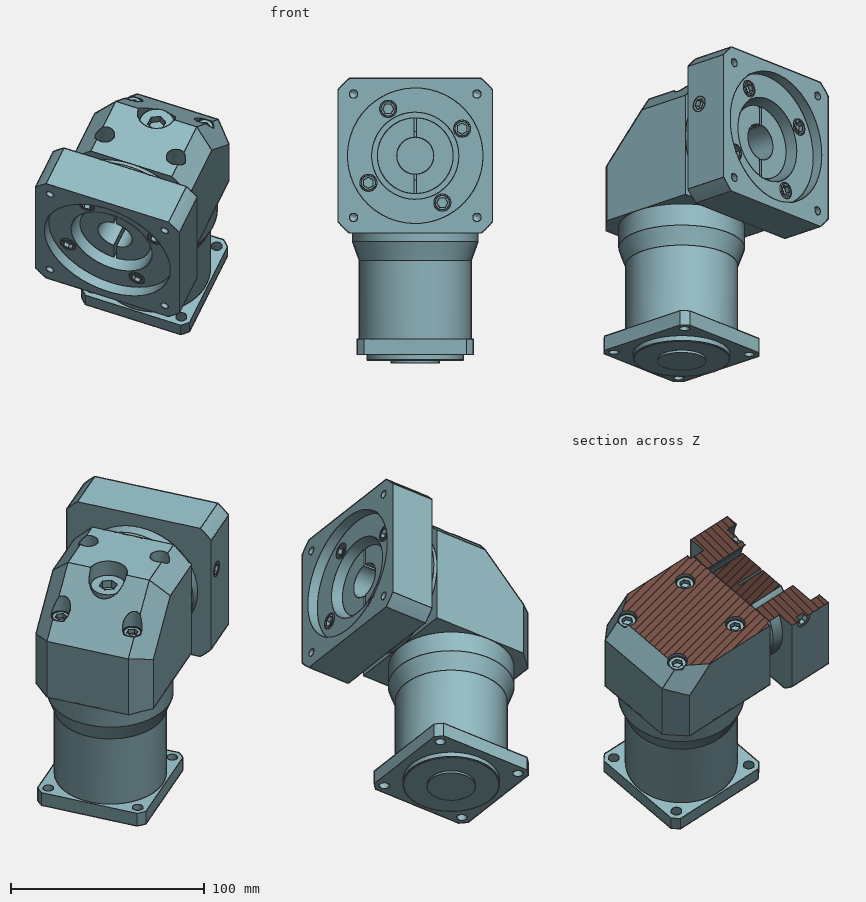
import cadquery as cq
import math


BOX = 65.0
HALF_BOX = BOX / 2
INPUT_Z = 107.0
BOX_BOTTOM = INPUT_Z - HALF_BOX
BOX_TOP = INPUT_Z + HALF_BOX
BACK_CUT = 30.1
SIDE_CHAMFER = 10.0
COLLAR_LENGTH = 2.0

TUBE_R = 29.0
CONE_TOP = 62.8
CONE_BOTTOM = 53.0
FLANGE_WIDTH = 60.0
FLANGE_CORNER_R = 40.0
FLANGE_TOP = 12.3
FLANGE_BOTTOM = 4.4
FLANGE_HOLE_D = 5.5
FLANGE_HOLE_PITCH = 49.4
PILOT_R = 25.0
PILOT_BOTTOM = 1.3
PILOT_CHAMFER = 0.5
END_DISC_R = 12.5

CAP_PITCH = 39.5
CAP_BORE_D = 10.0
CAP_HEAD_D = 8.8
CAP_BORE_DEPTH = 21.9
CAP_SUNK = 0.1
CAP_HEX = 5.0
CAP_HEX_DEPTH = 2.5
PLUG_Y = 3.0
PLUG_BORE_D = 19.7
PLUG_D = 18.0
PLUG_HEIGHT = 7.4
PLUG_SUNK = 8.2
PLUG_HEX = 8.1
PLUG_HEX_DEPTH = 4.4

PLATE_WIDTH = 80.0
PLATE_CORNER_R = 52.5
PLATE_THICKNESS = 25.0
TOTAL_DEPTH = 98.5
PLATE_FRONT_Y = HALF_BOX - TOTAL_DEPTH
PLATE_BACK_Y = PLATE_FRONT_Y + PLATE_THICKNESS
COLLAR_FRONT_Y = -HALF_BOX - COLLAR_LENGTH
CENTERING_D = 70.0
CENTERING_DEPTH = 6.0
ADAPTER_BORE_D = 45.0
MOUNT_HOLE_D = 4.3
MOUNT_HOLE_PITCH = 63.7
MOUNT_HOLE_DEPTH = 11.8
DRILL_TIP_ANGLE = 118.0
ADAPTER_SCREW_CIRCLE_R = 28.0
ADAPTER_SCREW_START = 30.0
ADAPTER_HEAD_D = 8.8
ADAPTER_HEAD_HEIGHT = 0.3
ADAPTER_HEAD_CHAMFER = 0.7
ADAPTER_HEX = 5.0
ADAPTER_HEX_DEPTH = 2.5

SIDE_PLUG_D = 8.2
SIDE_PLUG_HEX = 5.0
SIDE_PLUG_HEX_DEPTH = 3.0
SIDE_PLUG_SUNK = 0.1
SIDE_PLUG_FROM_BACK = 7.8
SIDE_PLUG_ABOVE_AXIS = 11.2
SIDE_PLUG_Y = PLATE_BACK_Y - SIDE_PLUG_FROM_BACK
SIDE_PLUG_Z = INPUT_Z + SIDE_PLUG_ABOVE_AXIS

HUB_D = 39.1
HUB_SUNK = 10.9
HUB_FRONT_Y = PLATE_FRONT_Y + HUB_SUNK
HUB_LENGTH = COLLAR_FRONT_Y - HUB_FRONT_Y
HUB_BORE_D = 19.1
HUB_BORE_DEPTH = 17.6
SLOT_WIDTH = 1.5
SLOT_DEPTH = 14.7
SLOT_INNER_DEPTH = 16.2
SLOT_INNER_D = 25.0


def top_plane(x, y, z):
    """Plane at the given point that faces +Z."""
    return cq.Plane(origin=(x, y, z), xDir=(1, 0, 0), normal=(0, 0, 1))


def input_plane(y, x=0, z=0):
    """Plane that faces -Y, with x and z measured from the input axis."""
    return cq.Plane(origin=(x, y, INPUT_Z + z), xDir=(1, 0, 0), normal=(0, -1, 0))


def hexagon(plane, across_flats, depth, turn=0):
    """Hexagonal prism from the plane down into the material."""
    corner_d = across_flats / math.cos(math.radians(30))
    return cq.Workplane(plane).transformed(rotate=(0, 0, turn)).polygon(6, corner_d).extrude(-depth)


def sunk_socket_head(body, plane, head_d, sunk, hex_size, hex_depth):
    """Round socket head that sits slightly below the face on the plane."""
    seat = cq.Workplane(plane).circle(head_d / 2).extrude(-sunk)
    socket = hexagon(plane, hex_size, sunk + hex_depth, turn=30)
    return body.cut(seat).cut(socket)


def square_points(pitch):
    """Corners of a centered square with the given side."""
    half = pitch / 2
    return [(sx * half, sy * half) for sx in (-1, 1) for sy in (-1, 1)]


def square_with_round_corners(plane, width, corner_r, thickness):
    """Square plate whose corners are cut by a circle around its center."""
    square = cq.Workplane(plane).rect(width, width).extrude(-thickness)
    disc = cq.Workplane(plane).circle(corner_r).extrude(-thickness)
    return square.intersect(disc)


def make_box():
    """Box with the back cut and with chamfers along both sides of the top, cut and back faces."""
    box = (
        cq.Workplane("YZ")
        .moveTo(-HALF_BOX, BOX_BOTTOM)
        .lineTo(HALF_BOX, BOX_BOTTOM)
        .lineTo(HALF_BOX, BOX_TOP - BACK_CUT)
        .lineTo(HALF_BOX - BACK_CUT, BOX_TOP)
        .lineTo(-HALF_BOX, BOX_TOP)
        .close()
        .extrude(HALF_BOX, both=True)
    )
    side_edges = box.faces("<X or >X").edges()
    return side_edges.edges("not(<Y or <Z)").chamfer(SIDE_CHAMFER)


def make_output_tube():
    """Round tube with its cone, the square flange and the two end discs."""
    tube = (
        cq.Workplane("XZ")
        .moveTo(0, 0)
        .lineTo(END_DISC_R, 0)
        .lineTo(END_DISC_R, PILOT_BOTTOM)
        .lineTo(PILOT_R - PILOT_CHAMFER, PILOT_BOTTOM)
        .lineTo(PILOT_R, PILOT_BOTTOM + PILOT_CHAMFER)
        .lineTo(PILOT_R, FLANGE_BOTTOM)
        .lineTo(TUBE_R, FLANGE_BOTTOM)
        .lineTo(TUBE_R, CONE_BOTTOM)
        .lineTo(HALF_BOX, CONE_TOP)
        .lineTo(HALF_BOX, BOX_BOTTOM)
        .lineTo(0, BOX_BOTTOM)
        .close()
        .revolve(360, (0, 0, 0), (0, 1, 0))
    )
    flange_thickness = FLANGE_TOP - FLANGE_BOTTOM
    flange_top = top_plane(0, 0, FLANGE_TOP)
    flange = square_with_round_corners(flange_top, FLANGE_WIDTH, FLANGE_CORNER_R, flange_thickness)
    holes = (
        cq.Workplane(flange_top)
        .pushPoints(square_points(FLANGE_HOLE_PITCH))
        .circle(FLANGE_HOLE_D / 2)
        .extrude(-flange_thickness)
    )
    return tube.union(flange.cut(holes))


def make_housing():
    collar = cq.Workplane(input_plane(-HALF_BOX)).circle(HALF_BOX).extrude(COLLAR_LENGTH)
    housing = make_box().union(collar).union(make_output_tube())
    for x, y in square_points(CAP_PITCH):
        bore = cq.Workplane(top_plane(x, y, BOX_TOP)).circle(CAP_BORE_D / 2).extrude(-CAP_BORE_DEPTH)
        bore_floor = top_plane(x, y, BOX_TOP - CAP_BORE_DEPTH)
        housing = housing.cut(bore)
        housing = sunk_socket_head(housing, bore_floor, CAP_HEAD_D, CAP_SUNK, CAP_HEX, CAP_HEX_DEPTH)
    return add_oil_plug(housing)


def add_oil_plug(housing):
    """Plug in a bore across the upper edge of the back cut, standing slightly proud of the cut."""
    bore_floor = BOX_TOP - PLUG_SUNK - PLUG_HEIGHT
    floor_plane = top_plane(0, PLUG_Y, bore_floor)
    plug_top = top_plane(0, PLUG_Y, BOX_TOP - PLUG_SUNK)
    bore = cq.Workplane(floor_plane).circle(PLUG_BORE_D / 2).extrude(PLUG_SUNK + PLUG_HEIGHT)
    plug = cq.Workplane(floor_plane).circle(PLUG_D / 2).extrude(PLUG_HEIGHT)
    socket = hexagon(plug_top, PLUG_HEX, PLUG_HEX_DEPTH, turn=30)
    return housing.cut(bore).union(plug).cut(socket)


def drilled_hole(plane, diameter, depth):
    """Blind hole with a conical drill tip."""
    radius = diameter / 2
    tip = radius / math.tan(math.radians(DRILL_TIP_ANGLE / 2))
    shaft = cq.Workplane(plane).circle(radius).extrude(-depth)
    cone = cq.Solid.makeCone(radius, 0, tip, plane.origin - plane.zDir * depth, plane.zDir * -1)
    return shaft.union(cq.Workplane(cone))


def make_adapter():
    """Square motor plate with a round neck, stepped bore, screws and side plug."""
    front = input_plane(PLATE_FRONT_Y)
    plate = square_with_round_corners(front, PLATE_WIDTH, PLATE_CORNER_R, PLATE_THICKNESS)
    neck = (
        cq.Workplane(input_plane(COLLAR_FRONT_Y))
        .circle(HALF_BOX)
        .extrude(COLLAR_FRONT_Y - PLATE_BACK_Y)
    )
    bore = cq.Workplane(front).circle(ADAPTER_BORE_D / 2).extrude(PLATE_FRONT_Y - COLLAR_FRONT_Y)
    recess = cq.Workplane(front).circle(CENTERING_D / 2).extrude(-CENTERING_DEPTH)
    adapter = plate.union(neck).cut(bore).cut(recess)

    for x, z in square_points(MOUNT_HOLE_PITCH):
        hole_plane = input_plane(PLATE_FRONT_Y, x, z)
        adapter = adapter.cut(drilled_hole(hole_plane, MOUNT_HOLE_D, MOUNT_HOLE_DEPTH))
    for i in range(4):
        adapter = add_adapter_screw(adapter, ADAPTER_SCREW_START + 90 * i)
    return add_side_plug(adapter)


def add_adapter_screw(adapter, angle):
    """Chamfered socket head on the recess floor, with its hexagon turned to point along the angle."""
    x = ADAPTER_SCREW_CIRCLE_R * math.cos(math.radians(angle))
    z = ADAPTER_SCREW_CIRCLE_R * math.sin(math.radians(angle))
    floor_y = PLATE_FRONT_Y + CENTERING_DEPTH
    floor_plane = input_plane(floor_y, x, z)
    head_top = input_plane(floor_y - ADAPTER_HEAD_HEIGHT, x, z)
    base_r = ADAPTER_HEAD_D / 2
    top_r = base_r - ADAPTER_HEAD_CHAMFER
    head = cq.Solid.makeCone(base_r, top_r, ADAPTER_HEAD_HEIGHT, floor_plane.origin, floor_plane.zDir)
    socket = hexagon(head_top, ADAPTER_HEX, ADAPTER_HEX_DEPTH, turn=angle)
    return adapter.union(cq.Workplane(head)).cut(socket)


def add_side_plug(adapter):
    """Plug with a hexagon socket, set just below the -X face."""
    face = cq.Plane(
        origin=(-PLATE_WIDTH / 2, SIDE_PLUG_Y, SIDE_PLUG_Z), xDir=(0, 0, 1), normal=(-1, 0, 0)
    )
    return sunk_socket_head(
        adapter, face, SIDE_PLUG_D, SIDE_PLUG_SUNK, SIDE_PLUG_HEX, SIDE_PLUG_HEX_DEPTH
    )


def make_clamp_hub():
    """Hub with a blind shaft bore and a clamping slot straight across it."""
    front = input_plane(HUB_FRONT_Y)
    hub = cq.Workplane(front).circle(HUB_D / 2).extrude(-HUB_LENGTH)
    bore = cq.Workplane(front).circle(HUB_BORE_D / 2).extrude(-HUB_BORE_DEPTH)
    slot = cq.Workplane(front).rect(SLOT_WIDTH, HUB_D).extrude(-SLOT_DEPTH)
    inner_slot = cq.Workplane(front).rect(SLOT_WIDTH, SLOT_INNER_D).extrude(-SLOT_INNER_DEPTH)
    return hub.cut(bore).cut(slot).cut(inner_slot)


housing = make_housing()
adapter = make_adapter()
clamp_hub = make_clamp_hub()

result = cq.Compound.makeCompound([housing.val(), adapter.val(), clamp_hub.val()])